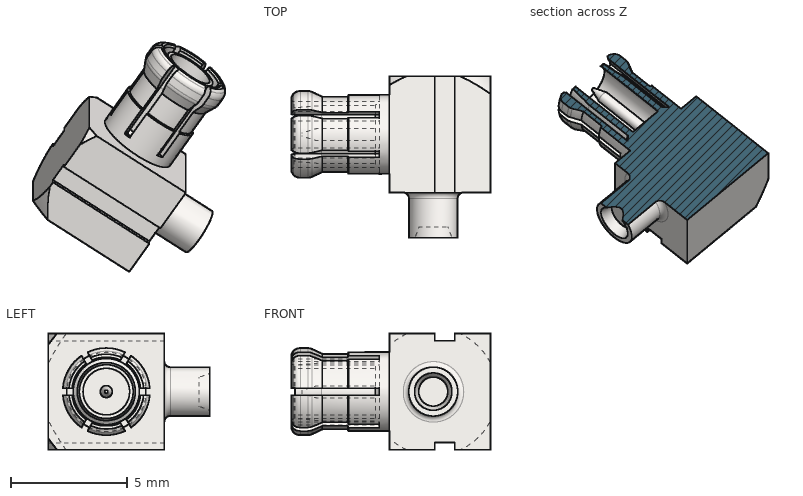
import cadquery as cq
import math


total_length = 8.56
body_front_x = 4.21
body_length = total_length - body_front_x
body_side = 5.0
body_half = body_side / 2
groove_start_x = 6.16
groove_width = 0.85
groove_depth = 0.31
turned_corner_radius = 2.75

tail_x = 6.095
tail_length = 1.95
tail_radius = 1.05
tail_fillet = 0.25
socket_mouth_radius = 0.805
socket_floor_radius = 0.625
socket_depth = 0.48

head_radius = 1.875
head_round = 0.4
head_front_radius = 1.61
head_bevel_length = 0.085
head_land_start_x = 0.38
head_land_end_x = 0.71
head_taper_start_x = 0.87
neck_start_x = 1.335
neck_radius = 1.63
collar_radius = 1.7
collar_start_x = 2.46
collar_bevel_length = 0.04

collet_bore_radius = 1.42
collet_mouth_radius = 1.48
mouth_taper_length = 0.09
slot_end_x = 3.77
slot_width = 0.3
slot_count = 6

sleeve_front_x = 0.15
sleeve_tip_radius = 1.155
sleeve_taper_end_x = 1.275
sleeve_radius = 1.25
sleeve_bore_radius = 1.0
sleeve_bore_floor_x = slot_end_x - (collet_bore_radius - sleeve_radius)
pin_tip_x = 0.45
pin_tip_radius = 0.07
pin_radius = 0.26
pin_taper_length = 0.6


def turn_about_x(profile):
    return profile.close().revolve(360, (0, 0, 0), (1, 0, 0))


def turn_about_tail(profile):
    return profile.close().revolve(360, (tail_x, 0, 0), (tail_x, 1, 0))


def head_round_height(x, land_edge_x):
    """Radius of the head's rounded edge at x, where the round meets the land at land_edge_x."""
    return head_radius - head_round + math.sqrt(head_round**2 - (x - land_edge_x) ** 2)


def make_body():
    body = cq.Workplane("XY").box(body_length, body_side, body_side)
    body = body.translate((body_front_x + body_length / 2, 0, 0))
    cone_front_radius = turned_corner_radius + body_side
    cone = turn_about_tail(
        cq.Workplane("XY")
        .moveTo(tail_x, -body_half)
        .lineTo(tail_x + cone_front_radius, -body_half)
        .lineTo(tail_x + turned_corner_radius, body_half)
        .lineTo(tail_x, body_half)
    )
    body = body.intersect(cone)
    for side in (-1, 1):
        groove = cq.Workplane("XY").box(groove_width, body_side, 2 * groove_depth)
        body = body.cut(groove.translate((groove_start_x + groove_width / 2, 0, side * body_half)))
    return body


def make_tail():
    tail_end_y = -body_half - tail_length
    diagonal = math.sqrt(0.5)
    arc_radius = tail_radius + tail_fillet * (1 - diagonal)
    arc_y = -body_half - tail_fillet * (1 - diagonal)
    return turn_about_tail(
        cq.Workplane("XY")
        .moveTo(tail_x, tail_end_y + socket_depth)
        .lineTo(tail_x + socket_floor_radius, tail_end_y + socket_depth)
        .lineTo(tail_x + socket_mouth_radius, tail_end_y)
        .lineTo(tail_x + tail_radius, tail_end_y)
        .lineTo(tail_x + tail_radius, -body_half - tail_fillet)
        .threePointArc((tail_x + arc_radius, arc_y), (tail_x + tail_radius + tail_fillet, -body_half))
        .lineTo(tail_x, -body_half)
    )


def make_collet():
    """Outer spring collet with a tapered mouth, cut into fingers by radial slots."""
    front_mid_x = (head_bevel_length + head_land_start_x) / 2
    rear_mid_x = (head_land_end_x + head_taper_start_x) / 2
    collet = turn_about_x(
        cq.Workplane("XY")
        .moveTo(0, collet_mouth_radius)
        .lineTo(0, head_front_radius)
        .lineTo(head_bevel_length, head_round_height(head_bevel_length, head_land_start_x))
        .threePointArc(
            (front_mid_x, head_round_height(front_mid_x, head_land_start_x)),
            (head_land_start_x, head_radius),
        )
        .lineTo(head_land_end_x, head_radius)
        .threePointArc(
            (rear_mid_x, head_round_height(rear_mid_x, head_land_end_x)),
            (head_taper_start_x, head_round_height(head_taper_start_x, head_land_end_x)),
        )
        .lineTo(neck_start_x, neck_radius)
        .lineTo(collar_start_x - collar_bevel_length, neck_radius)
        .lineTo(collar_start_x, collar_radius)
        .lineTo(body_front_x, collar_radius)
        .lineTo(body_front_x, collet_bore_radius)
        .lineTo(mouth_taper_length, collet_bore_radius)
    )
    slot = cq.Workplane("XY").box(slot_end_x, head_radius, slot_width, centered=(False, False, True))
    for index in range(slot_count):
        collet = collet.cut(slot.rotate((0, 0, 0), (1, 0, 0), index * 360 / slot_count))
    return collet


def make_sleeve():
    """Inner sleeve that flares at 45 degrees to close the gap behind the collet fingers."""
    return turn_about_x(
        cq.Workplane("XY")
        .moveTo(sleeve_front_x, sleeve_bore_radius)
        .lineTo(sleeve_front_x, sleeve_tip_radius)
        .lineTo(sleeve_taper_end_x, sleeve_radius)
        .lineTo(sleeve_bore_floor_x, sleeve_radius)
        .lineTo(slot_end_x, collet_bore_radius)
        .lineTo(body_front_x, collet_bore_radius)
        .lineTo(body_front_x, 0)
        .lineTo(sleeve_bore_floor_x, 0)
        .lineTo(sleeve_bore_floor_x, sleeve_bore_radius)
    )


def make_pin():
    return turn_about_x(
        cq.Workplane("XY")
        .moveTo(pin_tip_x, 0)
        .lineTo(pin_tip_x, pin_tip_radius)
        .lineTo(pin_tip_x + pin_taper_length, pin_radius)
        .lineTo(sleeve_bore_floor_x, pin_radius)
        .lineTo(sleeve_bore_floor_x, 0)
    )


result = make_body().union(make_tail()).union(make_collet()).union(make_sleeve()).union(make_pin())